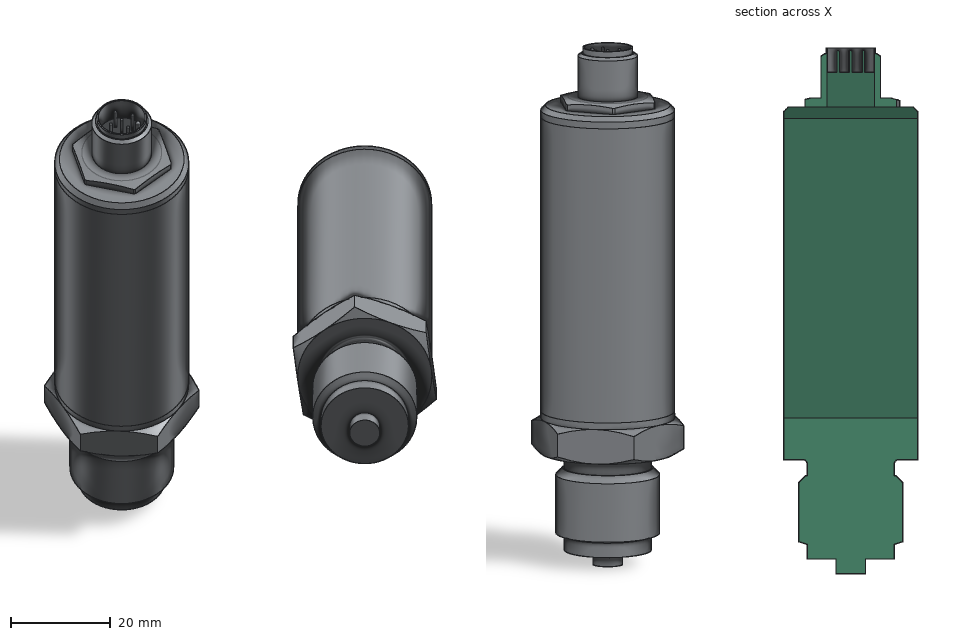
import cadquery as cq
import math

stub_length = 3.0
pilot_length = 3.0
thread_start_height = 0.5
thread_end_height = 1.4
thread_length = 13.8
undercut_length = 3.2
hex_height = 7.1

tube_bottom = 31.4
tube_top = 91.5
cap_top = 93.9
nut_top = 95.7
rim_taper_top = 104.5
rim_taper_bottom = 104.0
total_height = 105.7

body_diameter = 27.0
hex_flats = body_diameter
hex_chamfer_angle = 30
stub_diameter = 6.0
neck_diameter = 17.5
undercut_fillet = 0.8
thread_diameter = 20.9
thread_end_diameter = 18.2

cap_face_diameter = 25.0
cap_chamfer = (body_diameter - cap_face_diameter) / 2

nut_flats = 18
nut_face_diameter = 16.1
nut_corner_diameter = 20.5
nut_chamfer_angle = 14
nut_rotation = -13
barrel_diameter = 12.0
barrel_step_diameter = 10.6
barrel_rim_diameter = 10.0
barrel_bore_diameter = 9.4

insert_floor = 100.8
pin_tip = 105.3
pin_diameter = 0.6
pin_circle_radius = 2.5
outer_pin_count = 4
outer_pin_pitch = 360 / outer_pin_count
post_diameter = 1.0
post_circle_radius = 3.4
insert_rotation = 3


def hexagon_corner_radius(flats):
    """Distance from the axis to a corner of a hexagon of the given width across flats."""
    return flats / 2 / math.cos(math.pi / 6)


def cylinder(diameter, bottom, top):
    """Upright cylinder on the part axis."""
    return cq.Workplane("XY").workplane(offset=bottom).circle(diameter / 2).extrude(top - bottom)


def turned(profile):
    """Solid of revolution from (radius, height) corners, closed along the axis."""
    return cq.Workplane("XZ").polyline(profile).close().revolve(360, (0, 0, 0), (0, 1, 0))


def hexagon(flats, bottom, top):
    """Upright hexagonal prism with two corners on the X axis."""
    corner_diameter = 2 * hexagon_corner_radius(flats)
    return cq.Workplane("XY").workplane(offset=bottom).polygon(6, corner_diameter).extrude(top - bottom)


def round_tipped_pin(diameter, tip, circle_radius=0.0, angle=0.0):
    """Pin with a hemispherical tip, standing on the insert floor at a polar position."""
    radius = diameter / 2
    shaft = cylinder(diameter, insert_floor, tip - radius)
    dome = cq.Workplane("XY").sphere(radius).translate((0, 0, tip - radius))
    pin = shaft.union(dome).translate((circle_radius, 0, 0))
    return pin.rotate((0, 0, 0), (0, 0, 1), angle)


def make_port():
    """Hexagon with a shoulder for the tube above and the threaded stem below."""
    pilot_top = stub_length + pilot_length
    thread_top = pilot_top + thread_length
    hex_bottom = thread_top + undercut_length
    hex_top = hex_bottom + hex_height

    stub = cylinder(stub_diameter, 0, stub_length)
    neck = cylinder(neck_diameter, stub_length, hex_bottom)

    neck_radius = neck_diameter / 2
    thread_radius = thread_diameter / 2
    thread = turned([
        (0, pilot_top),
        (neck_radius, pilot_top),
        (thread_radius, pilot_top + thread_start_height),
        (thread_radius, thread_top - thread_end_height),
        (thread_end_diameter / 2, thread_top),
        (0, thread_top),
    ])

    undercut_corner = (
        cq.Workplane("XZ")
        .moveTo(0, hex_bottom)
        .lineTo(neck_radius + undercut_fillet, hex_bottom)
        .radiusArc((neck_radius, hex_bottom - undercut_fillet), -undercut_fillet)
        .lineTo(0, hex_bottom - undercut_fillet)
        .close()
        .revolve(360, (0, 0, 0), (0, 1, 0))
    )

    corner_radius = hexagon_corner_radius(hex_flats)
    corner_drop = (corner_radius - hex_flats / 2) * math.tan(math.radians(hex_chamfer_angle))
    corner_trim = turned([
        (0, hex_bottom),
        (hex_flats / 2, hex_bottom),
        (corner_radius, hex_bottom + corner_drop),
        (corner_radius, hex_top - corner_drop),
        (hex_flats / 2, hex_top),
        (0, hex_top),
    ])
    nut = hexagon(hex_flats, hex_bottom, hex_top).intersect(corner_trim)

    shoulder = cylinder(body_diameter, hex_top, tube_bottom)
    return stub.union(neck).union(thread).union(undercut_corner).union(nut).union(shoulder)


def make_tube():
    """Cylindrical housing between the port and the cap."""
    return cylinder(body_diameter, tube_bottom, tube_top)


def make_cap():
    """Chamfered disc closing the top of the tube."""
    return cylinder(body_diameter, tube_top, cap_top).faces(">Z").chamfer(cap_chamfer)


def make_connector():
    """Hexagonal nut with a hollow plug barrel above it."""
    nut_radius = nut_corner_diameter / 2
    nut_face_radius = nut_face_diameter / 2
    corner_drop = (nut_radius - nut_face_radius) * math.tan(math.radians(nut_chamfer_angle))
    corner_trim = turned([
        (0, cap_top),
        (nut_radius, cap_top),
        (nut_radius, nut_top - corner_drop),
        (nut_face_radius, nut_top),
        (0, nut_top),
    ])
    nut = hexagon(nut_flats, cap_top, nut_top).rotate((0, 0, 0), (0, 0, 1), nut_rotation)
    nut = nut.intersect(corner_trim)

    barrel_radius = barrel_diameter / 2
    barrel_rim_radius = barrel_rim_diameter / 2
    barrel = turned([
        (0, cap_top),
        (barrel_radius, cap_top),
        (barrel_radius, rim_taper_bottom),
        (barrel_step_diameter / 2, rim_taper_top),
        (barrel_rim_radius, rim_taper_top),
        (barrel_rim_radius, total_height),
        (0, total_height),
    ])
    return nut.union(barrel).cut(cylinder(barrel_bore_diameter, cap_top, total_height))


def make_insert():
    """Contact carrier filling the barrel bore, with five pins and a coding post."""
    insert = cylinder(barrel_bore_diameter, cap_top, insert_floor)
    insert = insert.union(round_tipped_pin(pin_diameter, pin_tip))
    for index in range(outer_pin_count):
        angle = insert_rotation + index * outer_pin_pitch
        insert = insert.union(round_tipped_pin(pin_diameter, pin_tip, pin_circle_radius, angle))

    post_angle = insert_rotation + outer_pin_pitch / 2
    return insert.union(round_tipped_pin(post_diameter, pin_tip, post_circle_radius, post_angle))


port = make_port()
tube = make_tube()
cap = make_cap()
connector = make_connector()
insert = make_insert()

result = cq.Compound.makeCompound([
    port.val(),
    tube.val(),
    cap.val(),
    connector.val(),
    insert.val(),
])